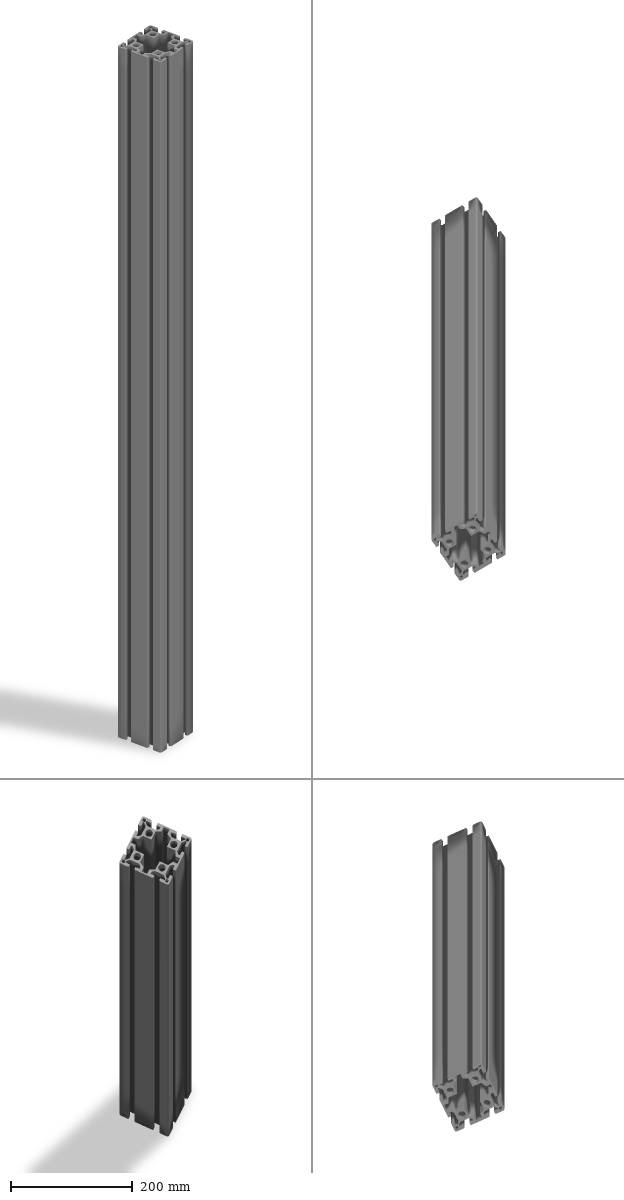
import cadquery as cq
side = 90.0
length = 1300.0
corner_radius = 3.0

module = side / 2
slot_offset = module / 2
slot_opening = 10.4
mouth_width = 11.8
mouth_chamfer_depth = 1.6
lip_thickness = 5.1
head_outer_reach = 13.4
head_inner_reach = 12.5
slot_depth = 12.5
floor_outer_chamfer = 5.2
floor_inner_chamfer = 4.0

bore_diameter = 12.4

hollow_offset = 39.5
hollow_width = 5.2

outer_wall = 2.5
cavity_half_width = 14.0
cavity_end_half_width = 5.1
cavity_neck = 34.3
cavity_taper_start = 29.5

half_side = side / 2
overcut = 1.0


def make_bar():
    bar = cq.Workplane("XY").rect(side, side).extrude(length)
    return bar.edges("|Z").fillet(corner_radius)


def make_slot():
    """T-slot open toward +Y on the +X half, with a chamfered mouth and floor."""
    half_opening = slot_opening / 2
    half_mouth = mouth_width / 2
    mouth_y = half_side - mouth_chamfer_depth
    lip_y = half_side - lip_thickness
    floor_y = half_side - slot_depth
    outer_x = slot_offset + head_outer_reach
    inner_x = slot_offset - head_inner_reach
    points = [
        (slot_offset + half_mouth, half_side + overcut),
        (slot_offset + half_mouth, half_side),
        (slot_offset + half_opening, mouth_y),
        (slot_offset + half_opening, lip_y),
        (outer_x, lip_y),
        (outer_x, floor_y + floor_outer_chamfer),
        (outer_x - floor_outer_chamfer, floor_y),
        (inner_x + floor_inner_chamfer, floor_y),
        (inner_x, floor_y + floor_inner_chamfer),
        (inner_x, lip_y),
        (slot_offset - half_opening, lip_y),
        (slot_offset - half_opening, mouth_y),
        (slot_offset - half_mouth, half_side),
        (slot_offset - half_mouth, half_side + overcut),
    ]
    return cq.Workplane("XY").polyline(points).close().extrude(length)


def make_cavity_arm():
    """One arm of the central cavity, running from the axis toward +Y."""
    end_y = half_side - outer_wall
    right_edge = [
        (cavity_half_width, 0),
        (cavity_half_width, cavity_taper_start),
        (cavity_end_half_width, cavity_neck),
        (cavity_end_half_width, end_y),
    ]
    left_edge = [(-x, y) for x, y in reversed(right_edge)]
    return cq.Workplane("XY").polyline(right_edge + left_edge).close().extrude(length)


def make_bores():
    centers = cq.Workplane("XY").rect(module, module, forConstruction=True).vertices()
    return centers.circle(bore_diameter / 2).extrude(length)


def make_corner_hollows():
    spacing = 2 * hollow_offset
    centers = cq.Workplane("XY").rect(spacing, spacing, forConstruction=True).vertices()
    return centers.rect(hollow_width, hollow_width).extrude(length)


right_slot = make_slot()
left_slot = right_slot.mirror("YZ")
cavity_arm = make_cavity_arm()

result = make_bar().cut(make_bores()).cut(make_corner_hollows())
for quarter_turn in range(4):
    angle = 90 * quarter_turn
    for cutter in (right_slot, left_slot, cavity_arm):
        result = result.cut(cutter.rotate((0, 0, 0), (0, 0, 1), angle))